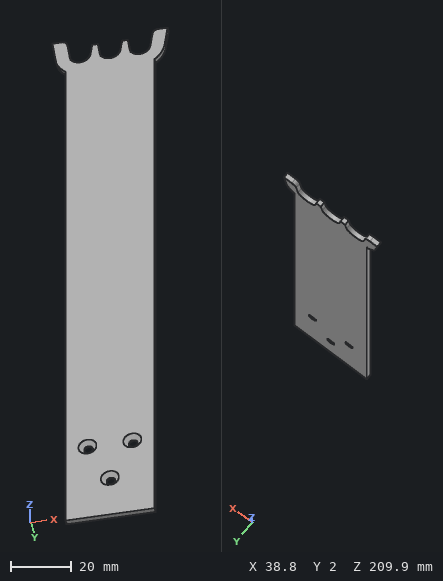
import cadquery as cq
import math

length = 209.9
thickness = 2.0
plate_width = 30.0
head_width = 38.8

notch_count = 3
notch_pitch = 10.0
notch_radius = 3.5
notch_depth = 9.9
wall_angle = math.radians(8)
inner_prong_drop = 3.0
prong_corner_radius = 1.9

hole_diameter = 3.0
countersink_diameter = 6.0
countersink_angle = 90
hole_spacing = 15.1
lower_hole_z = 16.0
upper_hole_z = lower_hole_z + hole_spacing

notch_center_z = length - notch_depth + notch_radius
outer_notch_x = notch_pitch * (notch_count - 1) / 2
notch_xs = [i * notch_pitch - outer_notch_x for i in range(notch_count)]


def front_sketch():
    """Workplane on the front face, facing -Y."""
    return cq.Workplane("XZ", origin=(0, -thickness / 2, 0))


def wall_half_width(radius, z):
    """Half width at height z of the leaning walls tangent to a notch-centred circle."""
    return radius / math.cos(wall_angle) + (z - notch_center_z) * math.tan(wall_angle)


def make_cup(center_x, radius, top_z):
    """Rounded bottom with tangent walls leaning outward, through the thickness."""
    tangent_x = radius * math.cos(wall_angle)
    tangent_z = notch_center_z - radius * math.sin(wall_angle)
    top_half_width = wall_half_width(radius, top_z)
    return (
        front_sketch()
        .moveTo(center_x - top_half_width, top_z)
        .lineTo(center_x - tangent_x, tangent_z)
        .threePointArc((center_x, notch_center_z - radius), (center_x + tangent_x, tangent_z))
        .lineTo(center_x + top_half_width, top_z)
        .close()
        .extrude(-thickness)
    )


def make_blank():
    """Long plate flaring into the head, whose sides are concentric with the outer notches."""
    rise = length - notch_center_z
    top_reach = head_width / 2 - outer_notch_x
    side_radius = (top_reach - rise * math.tan(wall_angle)) * math.cos(wall_angle)
    head_bottom_z = notch_center_z - side_radius
    plate = front_sketch().rect(plate_width, length).extrude(-thickness).translate((0, 0, length / 2))
    blank = plate
    for side in (-1, 1):
        blank = blank.union(make_cup(side * outer_notch_x, side_radius, length))
    bridge = cq.Workplane("XY").box(
        2 * outer_notch_x, thickness, length - head_bottom_z, centered=(True, True, False)
    )
    return blank.union(bridge.translate((0, 0, head_bottom_z)))


def cut_notches(body):
    inner_prong_top = length - inner_prong_drop
    gap = cq.Workplane("XY").box(
        2 * outer_notch_x, thickness, inner_prong_drop, centered=(True, True, False)
    )
    body = body.cut(gap.translate((0, 0, inner_prong_top)))
    for x in notch_xs:
        body = body.cut(make_cup(x, notch_radius, length))
    return body


def round_outer_prongs(body):
    """Round the notch-side top corner of the two outer prongs."""
    corner_x = outer_notch_x + wall_half_width(notch_radius, length)
    for x in (-corner_x, corner_x):
        corner = cq.selectors.NearestToPointSelector((x, 0, length))
        body = body.edges("|Y").edges(corner).fillet(prong_corner_radius)
    return body


def cut_screw_holes(body):
    hole_points = [
        (0, lower_hole_z),
        (-hole_spacing / 2, upper_hole_z),
        (hole_spacing / 2, upper_hole_z),
    ]
    return (
        body.copyWorkplane(front_sketch())
        .pushPoints(hole_points)
        .cskHole(hole_diameter, countersink_diameter, countersink_angle)
    )


result = cut_screw_holes(round_outer_prongs(cut_notches(make_blank().clean())))